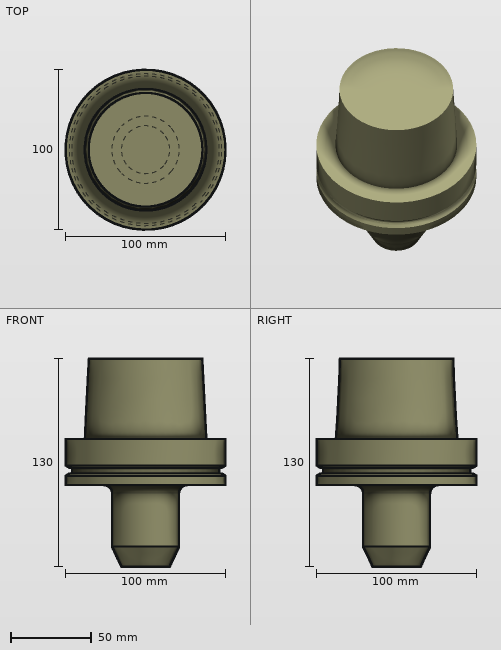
import cadquery as cq

total_height = 130.0
taper_height = 50.0
flange_height = 29.0
flange_top = total_height - taper_height
flange_bottom = flange_top - flange_height

plug_top_diameter = 71.0
plug_base_diameter = 76.0

flange_diameter = 100.0
groove_diameter = 92.0
lower_rim_height = 5.8
groove_width = 3.4
groove_flank_height = 1.5
groove_flank_depth = 2.5
groove_corner_fillet = 0.5

pin_diameter = 42.0
tip_diameter = 30.0
tip_height = 12.6
root_fillet = 5.0


def make_plug():
    return (
        cq.Workplane("XY", origin=(0, 0, flange_top))
        .circle(plug_base_diameter / 2)
        .workplane(offset=taper_height)
        .circle(plug_top_diameter / 2)
        .loft()
    )


def make_flange():
    return cq.Workplane("XY", origin=(0, 0, flange_bottom)).circle(flange_diameter / 2).extrude(flange_height)


def make_groove():
    """Ring cutter: a straight-walled groove with chamfered mouth edges and rounded floor corners."""
    rim = flange_diameter / 2
    floor = groove_diameter / 2
    fillet = groove_corner_fillet
    chamfer_inner = rim - groove_flank_depth
    mouth_bottom = flange_bottom + lower_rim_height
    wall_bottom = mouth_bottom + groove_flank_height
    wall_top = wall_bottom + groove_width
    mouth_top = wall_top + groove_flank_height
    return (
        cq.Workplane("XZ")
        .moveTo(rim, mouth_bottom)
        .lineTo(chamfer_inner, wall_bottom)
        .lineTo(floor + fillet, wall_bottom)
        .radiusArc((floor, wall_bottom + fillet), fillet)
        .lineTo(floor, wall_top - fillet)
        .radiusArc((floor + fillet, wall_top), fillet)
        .lineTo(chamfer_inner, wall_top)
        .lineTo(rim, mouth_top)
        .close()
        .revolve(360, (0, 0, 0), (0, 1, 0))
    )


def make_pin():
    """Revolved half profile, flaring through the root fillet into the flange."""
    radius = pin_diameter / 2
    return (
        cq.Workplane("XZ")
        .lineTo(tip_diameter / 2, 0)
        .lineTo(radius, tip_height)
        .lineTo(radius, flange_bottom - root_fillet)
        .radiusArc((radius + root_fillet, flange_bottom), root_fillet)
        .lineTo(0, flange_bottom)
        .close()
        .revolve(360, (0, 0, 0), (0, 1, 0))
    )


result = make_flange().cut(make_groove()).union(make_plug()).union(make_pin())